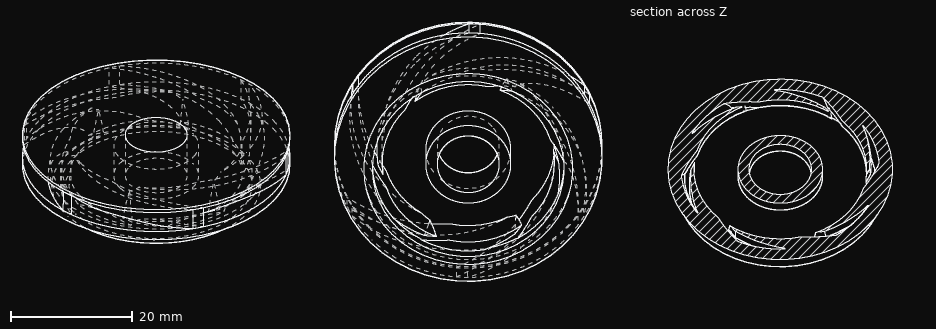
import cadquery as cq
import math


rim_radius = 22.05
height = 9.98
bore_radius = 5.1

shroud_bottom = 4.0
shroud_top = 5.63
hub_rim_bottom = 9.38
shroud_thickness = shroud_top - shroud_bottom

collar_draft = 6.0
flare_radius = 2.1
flare_center_radius = 19.52
flare_center_height = shroud_bottom - flare_radius
throat_curve_radius = flare_radius + shroud_thickness
eye_radius = flare_center_radius - throat_curve_radius

inward_angle = 180
quarter_arc_middle = 135

hub_sleeve_radius = 7.0
hub_sleeve_bottom = flare_center_height
hub_curve_radius = 75.0

vane_count = 6
vane_bottom = 2.3
vane_top = (hub_rim_bottom + height) / 2
leading_edge_radius = 14.2
tip_inset = 0.02
tip_radius = rim_radius - tip_inset
outer_face_low_center = (5.2, -2.57)
outer_face_low_radius = 20.37
outer_face_high_center = (7.5, -2.0)
outer_face_high_radius = 21.7
inner_face_center = (13.1, 0.93)
inner_face_radius = 26.0
vane_tip_angle = 257.0
vane_inner_end_angle = 170.0


def circle_point(center, radius, angle):
    """Point at an angle, in degrees, on a circle."""
    turn = math.radians(angle)
    return (center[0] + radius * math.cos(turn), center[1] + radius * math.sin(turn))


def hub_underside_height(radius):
    """Height of the hub's underside, an arc that leaves the rim level."""
    inward = rim_radius - radius
    return hub_rim_bottom - hub_curve_radius + math.sqrt(hub_curve_radius**2 - inward**2)


def hub_underside_middle():
    """Radius and height of a point midway along the hub's underside."""
    radius = (rim_radius + hub_sleeve_radius) / 2
    return (radius, hub_underside_height(radius))


def flare_point(radius, angle):
    """Point on a circle about the flare's centre, in the (radius, height) plane."""
    return circle_point((flare_center_radius, flare_center_height), radius, angle)


def revolved(profile):
    """Turn a closed (radius, height) profile about the Z axis."""
    return profile.close().revolve(360, (0, 0, 0), (0, 1, 0))


def make_hub():
    sleeve_top = (hub_sleeve_radius, hub_underside_height(hub_sleeve_radius))
    profile = (
        cq.Workplane("XZ")
        .moveTo(bore_radius, height)
        .lineTo(rim_radius, height)
        .lineTo(rim_radius, hub_rim_bottom)
        .threePointArc(hub_underside_middle(), sleeve_top)
        .lineTo(hub_sleeve_radius, hub_sleeve_bottom)
        .lineTo(bore_radius, hub_sleeve_bottom)
    )
    return revolved(profile)


def make_shroud():
    flare_start = flare_point(flare_radius, inward_angle - collar_draft)
    collar_inset = flare_start[1] * math.tan(math.radians(collar_draft))
    profile = (
        cq.Workplane("XZ")
        .moveTo(flare_start[0] - collar_inset, 0)
        .lineTo(*flare_start)
        .threePointArc(flare_point(flare_radius, quarter_arc_middle), (flare_center_radius, shroud_bottom))
        .lineTo(rim_radius, shroud_bottom)
        .lineTo(rim_radius, shroud_top)
        .lineTo(flare_center_radius, shroud_top)
        .threePointArc(flare_point(throat_curve_radius, quarter_arc_middle), (eye_radius, flare_center_height))
        .lineTo(eye_radius, 0)
    )
    return revolved(profile)


def make_vane_space():
    """Ring from the leading edges to just inside the rim, reaching halfway into the hub disc and shroud."""
    depth_in_shroud = shroud_thickness / 2
    floor_curve_radius = throat_curve_radius - depth_in_shroud
    floor = shroud_top - depth_in_shroud
    profile = (
        cq.Workplane("XZ")
        .moveTo(leading_edge_radius, flare_center_height)
        .lineTo(*flare_point(floor_curve_radius, inward_angle))
        .threePointArc(flare_point(floor_curve_radius, quarter_arc_middle), (flare_center_radius, floor))
        .lineTo(tip_radius, floor)
        .lineTo(tip_radius, vane_top)
        .lineTo(leading_edge_radius, vane_top)
    )
    return revolved(profile)


def vane_section(section_height, outer_center, outer_radius):
    """Closed wire of the vane at one height, running past both of its ends."""
    middle_angle = (vane_tip_angle + vane_inner_end_angle) / 2
    outer = [
        circle_point(outer_center, outer_radius, angle)
        for angle in (vane_tip_angle, middle_angle, vane_inner_end_angle)
    ]
    inner = [
        circle_point(inner_face_center, inner_face_radius, angle)
        for angle in (vane_inner_end_angle, middle_angle, vane_tip_angle)
    ]
    outline = (
        cq.Workplane("XY", origin=(0, 0, section_height))
        .moveTo(*outer[0])
        .threePointArc(outer[1], outer[2])
        .lineTo(*inner[0])
        .threePointArc(inner[1], inner[2])
        .close()
    )
    return outline.val()


def make_vane():
    low = vane_section(vane_bottom, outer_face_low_center, outer_face_low_radius)
    high = vane_section(vane_top, outer_face_high_center, outer_face_high_radius)
    blade = cq.Workplane(cq.Solid.makeLoft([low, high], True))
    return blade.intersect(make_vane_space())


vane = make_vane()
result = make_hub().union(make_shroud())
for index in range(vane_count):
    result = result.union(vane.rotate((0, 0, 0), (0, 0, 1), index * 360 / vane_count))